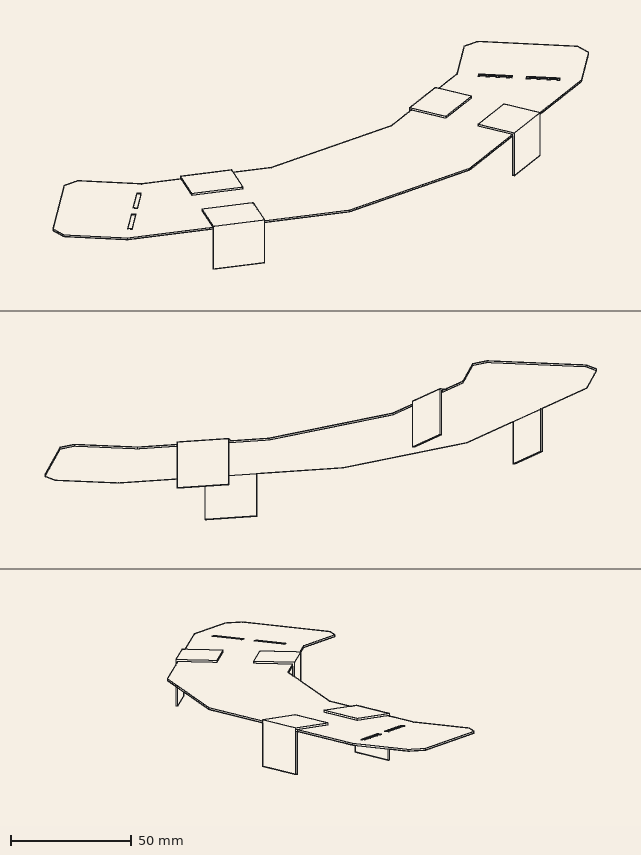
import cadquery as cq
import math

bend_angle = 22.5
plate_width = 52.1
plate_thickness = 0.8
middle_length = 63.9
arm_outer_length = 96.2
end_length = 31.8
corner_chamfer = 5.2

slot_length = 14.0
slot_width = 1.8
slot_depth = 0.4
slot_spacing = 20.0

bracket_thickness = 0.8
bracket_width = 22.2
bracket_height = 19.8
flange_length = 17.2

arm_inner_length = arm_outer_length - 2 * plate_width * math.sin(math.radians(bend_angle))


def advance(point, heading, distance):
    """Move from a point along a heading measured anticlockwise from +X."""
    angle = math.radians(heading)
    return (point[0] + distance * math.cos(angle), point[1] + distance * math.sin(angle))


arm_heading = 90 + bend_angle
end_heading = arm_heading + bend_angle
outer_middle_bend = (plate_width / 2, middle_length / 2)
inner_middle_bend = (-plate_width / 2, middle_length / 2)
outer_end_bend = advance(outer_middle_bend, arm_heading, arm_outer_length)
inner_end_bend = advance(inner_middle_bend, arm_heading, arm_inner_length)
end_bend_centre = (
    (outer_end_bend[0] + inner_end_bend[0]) / 2,
    (outer_end_bend[1] + inner_end_bend[1]) / 2,
)


def make_slots():
    """Two shallow slots in line across the upper end bend."""
    return (
        cq.Workplane("XY")
        .rarray(slot_spacing, 2.5, 2, 1)
        .rect(slot_length, slot_width)
        .extrude(slot_depth)
        .rotate((0, 0, 0), (0, 0, 1), end_heading - 90)
        .translate((*end_bend_centre, plate_thickness - slot_depth))
    )


def make_plate():
    """Flat bent strip with chamfered ends and a pair of slots near each end."""
    outer_tip = advance(outer_end_bend, end_heading, end_length)
    inner_tip = advance(inner_end_bend, end_heading, end_length)
    upper_edge = [
        outer_middle_bend,
        outer_end_bend,
        advance(outer_tip, end_heading, -corner_chamfer),
        advance(outer_tip, end_heading + 90, corner_chamfer),
        advance(inner_tip, end_heading - 90, corner_chamfer),
        advance(inner_tip, end_heading, -corner_chamfer),
        inner_end_bend,
        inner_middle_bend,
    ]
    lower_edge = [(x, -y) for x, y in reversed(upper_edge)]
    plate = cq.Workplane("XY").polyline(upper_edge + lower_edge).close().extrude(plate_thickness)
    slots = make_slots()
    return plate.cut(slots).cut(slots.mirror("XZ"))


def make_bracket(edge_point, outward_heading):
    """Angle strip with its leg against a plate edge and its flange lying on the plate."""
    top = plate_thickness + bracket_thickness
    bottom = top - bracket_height
    inner_end = bracket_thickness - flange_length
    profile = [
        (0, bottom),
        (bracket_thickness, bottom),
        (bracket_thickness, top),
        (inner_end, top),
        (inner_end, plate_thickness),
        (0, plate_thickness),
    ]
    return (
        cq.Workplane("XZ")
        .polyline(profile)
        .close()
        .extrude(bracket_width / 2, both=True)
        .rotate((0, 0, 0), (0, 0, 1), outward_heading)
        .translate((*edge_point, 0))
    )


def make_brackets():
    """One bracket at the middle of the outer and inner edge of both arms."""
    outer_point = advance(outer_middle_bend, arm_heading, arm_outer_length / 2)
    inner_point = advance(inner_middle_bend, arm_heading, arm_inner_length / 2)
    brackets = []
    for (x, y), heading in ((outer_point, bend_angle), (inner_point, bend_angle + 180)):
        for side in (1, -1):
            brackets.append(make_bracket((x, side * y), side * heading))
    return brackets


bodies = [make_plate(), *make_brackets()]
turned_bodies = [body.rotate((0, 0, 0), (0, 0, 1), -bend_angle) for body in bodies]
result = cq.Compound.makeCompound([body.val() for body in turned_bodies])